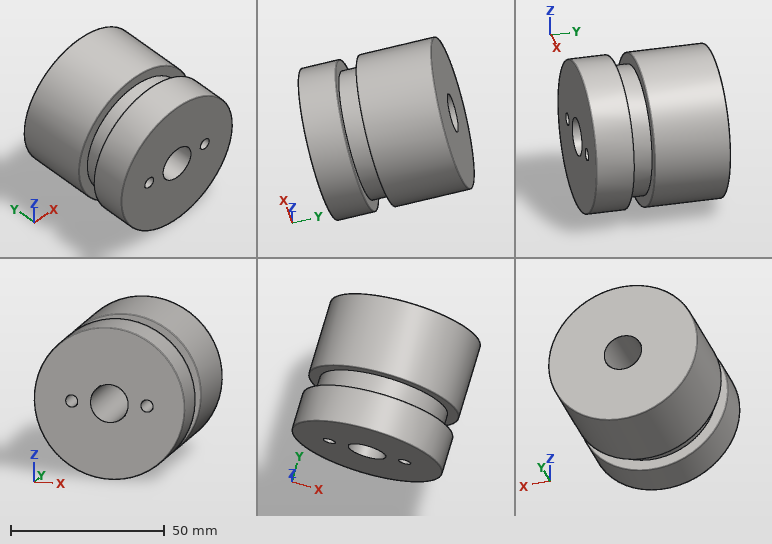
import cadquery as cq
import math

outer_diameter = 50.8
front_land_length = 12.7
groove_width = 6.85
rear_land_length = 25.4
groove_diameter = 43.2
bore_diameter = outer_diameter / 4
rim_radius = 0.2

pin_hole_diameter = 4.05
pin_hole_offset = outer_diameter / 4
pin_hole_depth = 12.7
drill_point_angle = 118.0

total_length = front_land_length + groove_width + rear_land_length
front_y = -total_length / 2
groove_front_y = front_y + front_land_length
groove_rear_y = groove_front_y + groove_width


def cylinder(diameter, start_y, length, x=0.0):
    """Cylinder along +Y starting at start_y."""
    return cq.Workplane(cq.Solid.makeCylinder(
        diameter / 2, length, cq.Vector(x, start_y, 0), cq.Vector(0, 1, 0)))


def land(start_y, length):
    """Full-diameter disc with both rims rounded."""
    return cylinder(outer_diameter, start_y, length).edges("%CIRCLE").fillet(rim_radius)


def pin_hole(x):
    """Drilled hole volume with a conical bottom."""
    radius = pin_hole_diameter / 2
    point_depth = radius / math.tan(math.radians(drill_point_angle / 2))
    point = cq.Solid.makeCone(
        radius, 0, point_depth, cq.Vector(x, front_y + pin_hole_depth, 0), cq.Vector(0, 1, 0))
    return cylinder(pin_hole_diameter, front_y, pin_hole_depth, x).union(cq.Workplane(point))


front_land = land(front_y, front_land_length)
rear_land = land(groove_rear_y, rear_land_length)
groove_core = cylinder(groove_diameter, groove_front_y, groove_width)

result = front_land.union(groove_core).union(rear_land)
result = result.cut(cylinder(bore_diameter, front_y, total_length))
for side in (-1, 1):
    result = result.cut(pin_hole(side * pin_hole_offset))